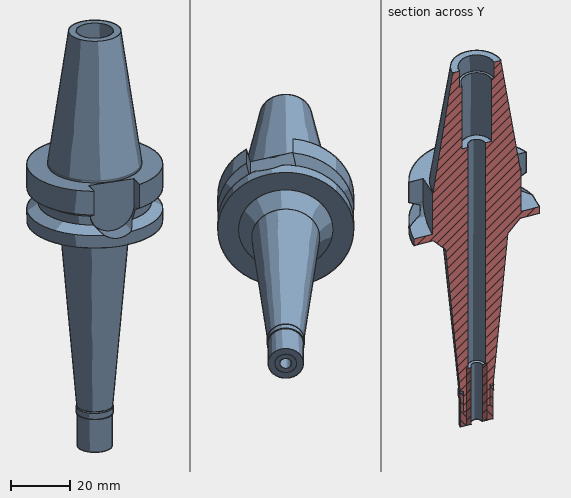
import cadquery as cq
import math

TOTAL_HEIGHT = 153.4
GAUGE_Z = 105.0
FLANGE_TOP_Z = 104.2
FLANGE_BOTTOM_Z = 83.1
GROOVE_TOP_Z = 95.4
GROOVE_BOTTOM_Z = 87.7
SHANK_TOP_Z = 78.1
SHANK_END_Z = 15.0

FLANGE_RADIUS = 23.0
GROOVE_RADIUS = 19.2
TAPER_LARGE_RADIUS = 16.0
TAPER_RATIO = 7 / 24
SHANK_TOP_RADIUS = 11.5
SHANK_END_RADIUS = 6.1
GROOVE_WALL_ANGLE = 30.0

SLOT_WIDTH = 16.3
SLOT_FLOOR_X = 16.3
SLOT_DEPTH = 18.0

ENTRY_BORE_RADIUS = 6.3
ENTRY_BORE_DEPTH = 6.9
THREAD_BORE_RADIUS = 5.4
THREAD_BORE_DEPTH = 33.7
COOLANT_BORE_RADIUS = 3.0

NUT_GAP = 0.5
NUT_RADIUS = 6.0
NUT_COLLAR_RADIUS = 6.3
NUT_COLLAR_HEIGHT = 2.3
NUT_TOP_Z = SHANK_END_Z - NUT_GAP

SPIGOT_RADIUS = 4.9
SPIGOT_END_Z = 6.1

COLLET_RADIUS = 3.7
COLLET_LENGTH = 24.5
COLLET_BORE_RADIUS = 2.0


def cylinder(radius, bottom_z, top_z):
    """Cylinder on the spindle axis between two heights."""
    return cq.Workplane("XY").workplane(offset=bottom_z).circle(radius).extrude(top_z - bottom_z)


def make_holder_blank():
    """Solid of revolution: spindle taper, grooved flange, flare, shank and spigot."""
    taper_small_radius = TAPER_LARGE_RADIUS - (TOTAL_HEIGHT - GAUGE_Z) * TAPER_RATIO / 2
    wall_height = (FLANGE_RADIUS - GROOVE_RADIUS) * math.tan(math.radians(GROOVE_WALL_ANGLE))
    return (
        cq.Workplane("XZ")
        .moveTo(0, TOTAL_HEIGHT)
        .lineTo(taper_small_radius, TOTAL_HEIGHT)
        .lineTo(TAPER_LARGE_RADIUS, GAUGE_Z)
        .lineTo(TAPER_LARGE_RADIUS, FLANGE_TOP_Z)
        .lineTo(FLANGE_RADIUS, FLANGE_TOP_Z)
        .lineTo(FLANGE_RADIUS, GROOVE_TOP_Z)
        .lineTo(GROOVE_RADIUS, GROOVE_TOP_Z - wall_height)
        .lineTo(GROOVE_RADIUS, GROOVE_BOTTOM_Z + wall_height)
        .lineTo(FLANGE_RADIUS, GROOVE_BOTTOM_Z)
        .lineTo(FLANGE_RADIUS, FLANGE_BOTTOM_Z)
        .lineTo(TAPER_LARGE_RADIUS, FLANGE_BOTTOM_Z)
        .lineTo(SHANK_TOP_RADIUS, SHANK_TOP_Z)
        .lineTo(SHANK_END_RADIUS, SHANK_END_Z)
        .lineTo(SPIGOT_RADIUS, SHANK_END_Z)
        .lineTo(SPIGOT_RADIUS, SPIGOT_END_Z)
        .lineTo(0, SPIGOT_END_Z)
        .close()
        .revolve(360, (0, 0, 0), (0, 1, 0))
    )


def make_drive_slot(side):
    """Cutter for one round-ended drive slot; side is +1 for +X and -1 for -X."""
    half_width = SLOT_WIDTH / 2
    slot_bottom_z = FLANGE_TOP_Z - SLOT_DEPTH
    arc_center_z = slot_bottom_z + half_width
    return (
        cq.Workplane("YZ")
        .workplane(offset=side * SLOT_FLOOR_X)
        .moveTo(-half_width, FLANGE_TOP_Z)
        .lineTo(-half_width, arc_center_z)
        .threePointArc((0, slot_bottom_z), (half_width, arc_center_z))
        .lineTo(half_width, FLANGE_TOP_Z)
        .close()
        .extrude(side * FLANGE_RADIUS)
    )


def make_holder():
    holder = make_holder_blank()
    for side in (-1, 1):
        holder = holder.cut(make_drive_slot(side))
    holder = holder.cut(cylinder(ENTRY_BORE_RADIUS, TOTAL_HEIGHT - ENTRY_BORE_DEPTH, TOTAL_HEIGHT))
    holder = holder.cut(cylinder(THREAD_BORE_RADIUS, TOTAL_HEIGHT - THREAD_BORE_DEPTH, TOTAL_HEIGHT))
    holder = holder.cut(cylinder(COOLANT_BORE_RADIUS, COLLET_LENGTH, TOTAL_HEIGHT))
    return holder.cut(cylinder(COLLET_RADIUS, SPIGOT_END_Z, COLLET_LENGTH))


def make_nut():
    """Slim nut with a collar at its top, bored for the spigot and the collet."""
    sleeve = cylinder(NUT_RADIUS, 0, NUT_TOP_Z)
    collar = cylinder(NUT_COLLAR_RADIUS, NUT_TOP_Z - NUT_COLLAR_HEIGHT, NUT_TOP_Z)
    spigot_bore = cylinder(SPIGOT_RADIUS, SPIGOT_END_Z, NUT_TOP_Z)
    collet_bore = cylinder(COLLET_RADIUS, 0, SPIGOT_END_Z)
    return sleeve.union(collar).cut(spigot_bore).cut(collet_bore)


def make_collet():
    """Plain sleeve, flush with the tip of the nut."""
    return cylinder(COLLET_RADIUS, 0, COLLET_LENGTH).cut(cylinder(COLLET_BORE_RADIUS, 0, COLLET_LENGTH))


holder = make_holder()
nut = make_nut()
collet = make_collet()

result = cq.Compound.makeCompound([holder.val(), nut.val(), collet.val()])